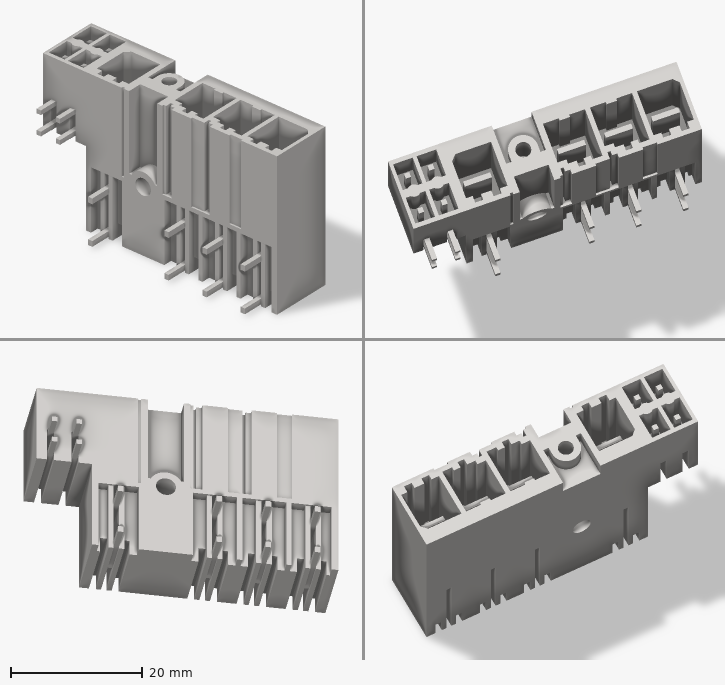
import cadquery as cq


LENGTH = 46.7
DEPTH = 11.4
HEIGHT = 28.3
STEP_X = 8.6
STEP_HEIGHT = 13.2
OVERALL_DEPTH = 14.9
LEG_REACH = OVERALL_DEPTH - DEPTH

POWER_PITCH = 7.6
FLANGE_X = STEP_X + 1.5 * POWER_PITCH
POWER_X = [FLANGE_X + step * POWER_PITCH for step in (-1, 1, 2, 3)]
SIGNAL_PITCH = POWER_PITCH / 2
FIRST_SIGNAL_X = 2.15
SIGNAL_X = [FIRST_SIGNAL_X, FIRST_SIGNAL_X + SIGNAL_PITCH]

SIGNAL_THICK = 0.85
SIGNAL_ROW_OFFSET = 2.95
SIGNAL_TOP = -1.15
SIGNAL_LEG_Z = -8.05
SIGNAL_POCKET_WIDTH = 3.17
SIGNAL_POCKET_DEPTH = 6.55
SIGNAL_WALL = 0.7
SIGNAL_RIB = 1.3
BUMP_WIDTH = 1.55
BUMP_HEIGHT = 0.35
SIGNAL_SLOT_WIDTH = 1.07
SIGNAL_SLOT_TOP = SIGNAL_LEG_Z + SIGNAL_THICK / 2

POWER_POCKET_DEPTH = 14.0
POWER_POCKET_BACK = 9.0
POCKET_HALF = 3.4
POCKET_END_HALF = 3.2
POCKET_CHAMFER = 0.9
KEYWAY_FRONT = 0.75
END_KEYWAY_INNER = 0.85
END_KEYWAY_OUTER = 2.15
END_FRONT = 1.85
END_MIDDLE_FRONT = 1.75
END_INNER_FRONT = 1.6
BACK_KEY_HALF = 0.85
BACK_KEY_HEIGHT = 0.37
KEYWAY_HALF = 0.55
INNER_STEP_LEFT = 1.95
INNER_STEP_RIGHT = 1.75
INNER_LEFT_FRONT = 2.47
INNER_MIDDLE_FRONT = 1.77
INNER_RIGHT_FRONT = 1.15
BLADE_Y = 5.65
BLADE_WIDTH = 4.4
BLADE_TOP = -5.6
SHEET = 0.85
POWER_LEG_HEIGHT = 1.05
POWER_LEG_Z = -19.8

BAY_TOP = -16.6
BAY_DEPTH = 1.6
BAY_HALF = 3.4
BAY_OUTER_HALF = 2.8
GUIDE_OUTER = 1.2
GUIDE_SETBACK = 0.35
NOTCH_OUTER = 2.3
NOTCH_TOP = -25.75

GROOVE_BOTTOM = -15.85
GROOVE_SHALLOW = 0.35
GROOVE_MIDDLE = 0.75
GROOVE_DEEP = 1.45
GROOVE_OUTER = 3.8
GROOVE_EDGE = 3.3
GROOVE_INNER = 2.8
GROOVE_END = 1.95
GROOVE_LONG = 5.65

FLANGE_NOTCH_WIDTH = 6.45
FLANGE_NOTCH_FRONT = 4.95
FLANGE_NOTCH_DEPTH = 2.5
BOSS_Y = 6.15
BOSS_RADIUS = 2.35
SCREW_RADIUS = 1.2
SCREW_DEPTH = 7.45
RECESS_WIDTH = 5.6
RECESS_DEPTH = 2.6
RECESS_BOTTOM = -14.75
CROSS_Z = -16.0
CROSS_RADIUS = 1.55
CROSS_BOSS_RADIUS = 2.65


def box(x0, x1, y0, y1, z0, z1):
    return cq.Workplane("XY").box(x1 - x0, y1 - y0, z1 - z0, centered=False).translate((x0, y0, z0))


def sink(points, depth):
    """Prism reaching down from the top face under a closed XY outline."""
    return cq.Workplane("XY").polyline(points).close().extrude(-depth)


def housing_block():
    outline = [
        (0, 0), (LENGTH, 0), (LENGTH, -HEIGHT),
        (STEP_X, -HEIGHT), (STEP_X, -STEP_HEIGHT), (0, -STEP_HEIGHT),
    ]
    return cq.Workplane("XZ").polyline(outline).close().extrude(-DEPTH)


def signal_pocket(x, row):
    """Pocket with a rounded ridge on the middle wall; row is -1 in front, 1 behind."""
    half = SIGNAL_POCKET_WIDTH / 2
    middle = DEPTH / 2
    inner = middle + row * SIGNAL_RIB / 2
    outer = middle + row * (middle - SIGNAL_WALL)
    return (
        cq.Workplane("XY")
        .moveTo(x - half, outer)
        .lineTo(x - half, inner)
        .lineTo(x - BUMP_WIDTH / 2, inner)
        .threePointArc((x, inner + row * BUMP_HEIGHT), (x + BUMP_WIDTH / 2, inner))
        .lineTo(x + half, inner)
        .lineTo(x + half, outer)
        .close()
        .extrude(-SIGNAL_POCKET_DEPTH)
    )


def signal_slot(x):
    half = SIGNAL_SLOT_WIDTH / 2
    return box(x - half, x + half, 0, DEPTH, -STEP_HEIGHT, SIGNAL_SLOT_TOP)


def end_pocket(x, side):
    """Pocket at an end of the row; side points from the middle to that end."""
    profile = [
        (-POCKET_HALF, POWER_POCKET_BACK),
        (POCKET_END_HALF - POCKET_CHAMFER, POWER_POCKET_BACK),
        (POCKET_END_HALF, POWER_POCKET_BACK - POCKET_CHAMFER),
        (POCKET_END_HALF, END_FRONT),
        (END_KEYWAY_OUTER, END_FRONT),
        (END_KEYWAY_OUTER, KEYWAY_FRONT),
        (END_KEYWAY_INNER, KEYWAY_FRONT),
        (END_KEYWAY_INNER, END_MIDDLE_FRONT),
        (-END_KEYWAY_INNER, END_MIDDLE_FRONT),
        (-END_KEYWAY_INNER, KEYWAY_FRONT),
        (-END_KEYWAY_OUTER, KEYWAY_FRONT),
        (-END_KEYWAY_OUTER, END_INNER_FRONT),
        (-POCKET_HALF, END_INNER_FRONT),
    ]
    return sink([(x + side * u, v) for u, v in profile], POWER_POCKET_DEPTH)


def inner_pocket(x):
    """Pocket between two others, keyed at the back and stepped at the front."""
    key_y = POWER_POCKET_BACK - BACK_KEY_HEIGHT
    profile = [
        (-POCKET_HALF, POWER_POCKET_BACK),
        (-BACK_KEY_HALF, POWER_POCKET_BACK),
        (-BACK_KEY_HALF, key_y),
        (BACK_KEY_HALF, key_y),
        (BACK_KEY_HALF, POWER_POCKET_BACK),
        (POCKET_HALF, POWER_POCKET_BACK),
        (POCKET_HALF, INNER_RIGHT_FRONT),
        (INNER_STEP_RIGHT, INNER_RIGHT_FRONT),
        (INNER_STEP_RIGHT, INNER_MIDDLE_FRONT),
        (KEYWAY_HALF, INNER_MIDDLE_FRONT),
        (KEYWAY_HALF, KEYWAY_FRONT),
        (-KEYWAY_HALF, KEYWAY_FRONT),
        (-KEYWAY_HALF, INNER_MIDDLE_FRONT),
        (-INNER_STEP_LEFT, INNER_MIDDLE_FRONT),
        (-INNER_STEP_LEFT, INNER_LEFT_FRONT),
        (-POCKET_HALF, INNER_LEFT_FRONT),
    ]
    return sink([(x + u, v) for u, v in profile], POWER_POCKET_DEPTH)


def leg_bay(x, left, right):
    """Bay open to the front and below, with two guides beside a slot for the legs."""
    bay = box(x - left, x + right, 0, BAY_DEPTH, -HEIGHT, BAY_TOP)
    guides = box(x - GUIDE_OUTER, x + GUIDE_OUTER, GUIDE_SETBACK, BAY_DEPTH, -HEIGHT, BAY_TOP)
    slot = box(x - SHEET / 2, x + SHEET / 2, 0, DEPTH, -HEIGHT, BAY_TOP)
    cut = bay.cut(guides).union(slot)
    for near, far in ((-NOTCH_OUTER, -GUIDE_OUTER), (GUIDE_OUTER, NOTCH_OUTER)):
        cut = cut.union(box(x + near, x + far, 0, DEPTH, -HEIGHT, NOTCH_TOP))
    return cut


def groove(x, start, end, depth):
    return box(x + start, x + end, 0, depth, GROOVE_BOTTOM, 0)


def coding_grooves():
    first, second, third, fourth = POWER_X
    cuts = [
        groove(first, GROOVE_EDGE, GROOVE_OUTER, GROOVE_SHALLOW),
        groove(second, -GROOVE_OUTER, -GROOVE_EDGE, GROOVE_SHALLOW),
        groove(third, -GROOVE_LONG, -GROOVE_EDGE, GROOVE_SHALLOW),
        groove(fourth, -GROOVE_LONG, -GROOVE_EDGE, GROOVE_SHALLOW),
    ]
    for x in (second, third):
        cuts.append(groove(x, -GROOVE_EDGE, -GROOVE_INNER, GROOVE_DEEP))
        cuts.append(groove(x, -GROOVE_INNER, -GROOVE_END, GROOVE_MIDDLE))
    return cuts


def flange_notch():
    """Notch in the rear top edge that leaves a half-round screw boss standing."""
    half = FLANGE_NOTCH_WIDTH / 2
    notch = box(FLANGE_X - half, FLANGE_X + half, FLANGE_NOTCH_FRONT, DEPTH, -FLANGE_NOTCH_DEPTH, 0)
    boss = cq.Workplane("XY").center(FLANGE_X, BOSS_Y).circle(BOSS_RADIUS).extrude(-FLANGE_NOTCH_DEPTH)
    web = box(FLANGE_X - BOSS_RADIUS, FLANGE_X + BOSS_RADIUS, FLANGE_NOTCH_FRONT, BOSS_Y,
              -FLANGE_NOTCH_DEPTH, 0)
    return notch.cut(boss).cut(web)


def screw_hole():
    return cq.Workplane("XY").center(FLANGE_X, BOSS_Y).circle(SCREW_RADIUS).extrude(-SCREW_DEPTH)


def cross_cylinder(radius, length):
    return cq.Workplane("XZ").center(FLANGE_X, CROSS_Z).circle(radius).extrude(-length)


def front_recess():
    half = RECESS_WIDTH / 2
    recess = box(FLANGE_X - half, FLANGE_X + half, 0, RECESS_DEPTH, RECESS_BOTTOM, 0)
    return recess.cut(cross_cylinder(CROSS_BOSS_RADIUS, RECESS_DEPTH))


def signal_pin(x, row):
    """L-shaped pin; the rear row (row = 1) passes below the front row."""
    half = SIGNAL_THICK / 2
    y = DEPTH / 2 + row * SIGNAL_ROW_OFFSET
    leg_z = SIGNAL_LEG_Z - (SIGNAL_PITCH if row > 0 else 0)
    stem = box(x - half, x + half, y - half, y + half, leg_z - half, SIGNAL_TOP)
    leg = box(x - half, x + half, -LEG_REACH, y + half, leg_z - half, leg_z + half)
    return stem.union(leg)


def power_contact(x):
    """Wide blade on a narrow stem with two legs to the front."""
    half = SHEET / 2
    foot = POWER_LEG_HEIGHT / 2
    lower_z = POWER_LEG_Z - POWER_PITCH
    blade = box(x - BLADE_WIDTH / 2, x + BLADE_WIDTH / 2, BLADE_Y - half, BLADE_Y + half,
                -POWER_POCKET_DEPTH, BLADE_TOP)
    stem = box(x - half, x + half, BLADE_Y - half, BLADE_Y + half, lower_z - foot, -POWER_POCKET_DEPTH)
    contact = blade.union(stem)
    for z in (POWER_LEG_Z, lower_z):
        contact = contact.union(box(x - half, x + half, -LEG_REACH, BLADE_Y + half, z - foot, z + foot))
    return contact


signal_pins = [signal_pin(x, row) for x in SIGNAL_X for row in (-1, 1)]
power_contacts = [power_contact(x) for x in POWER_X]

cuts = [signal_pocket(x, row) for x in SIGNAL_X for row in (-1, 1)]
cuts += [signal_slot(x) for x in SIGNAL_X]
cuts += [end_pocket(POWER_X[0], -1), end_pocket(POWER_X[-1], 1)]
cuts += [inner_pocket(x) for x in POWER_X[1:-1]]
cuts += [leg_bay(POWER_X[0], BAY_OUTER_HALF, BAY_HALF), leg_bay(POWER_X[-1], BAY_HALF, BAY_OUTER_HALF)]
cuts += [leg_bay(x, BAY_HALF, BAY_HALF) for x in POWER_X[1:-1]]
cuts += coding_grooves()
cuts += [flange_notch(), screw_hole(), front_recess(), cross_cylinder(CROSS_RADIUS, DEPTH)]

housing = housing_block()
for cut in cuts + signal_pins + power_contacts:
    housing = housing.cut(cut)

bodies = [housing] + signal_pins + power_contacts
result = cq.Compound.makeCompound([body.solids().val() for body in bodies])